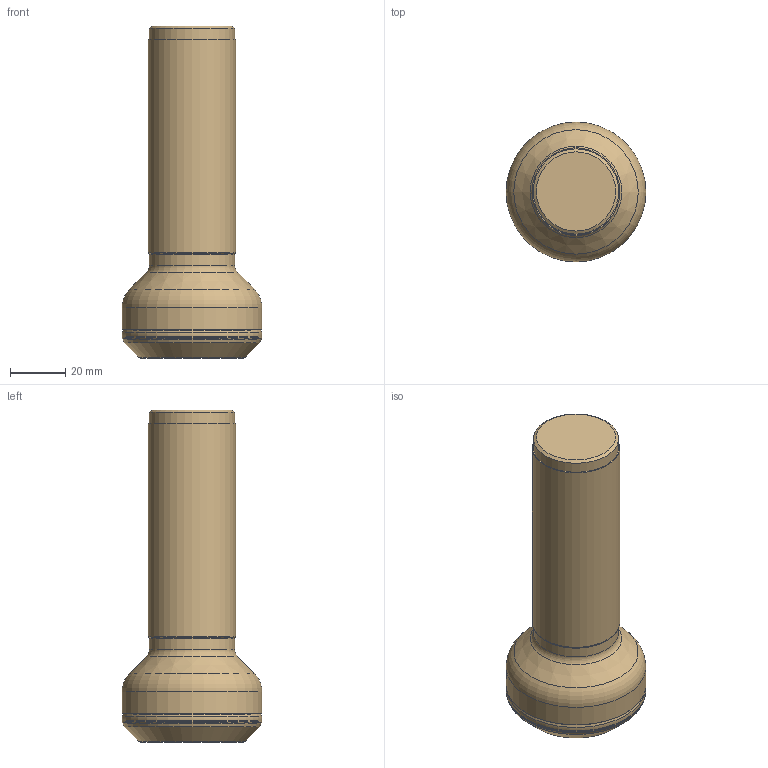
import cadquery as cq
import math

total_height = 120.65
parting_height = 10.45

head_radius = 25.4
head_fillet_start = 18.3
head_fillet_radius = 9.525
neck_radius = 15.5
neck_fillet_radius = 3.8
grip_radius = 15.875
grip_bottom = 38.25
grip_blend_height = 0.65
grip_top = 115.9
end_chamfer_width = 1.1
end_chamfer_height = 0.75

rim_radius = 25.415
rim_chamfer_width = 0.3
rim_chamfer_height = 0.85
rim_crown_drop = 0.05
rim_crown_top = 9.3
rim_crown_bottom = 7.7
rim_lip_height = 0.35
step_top_radius = 25.0
step_top = 6.6
step_bottom_radius = 24.6
step_bottom = 5.6
base_edge_height = 0.35
base_face_radius = 18.8

diagonal = math.sqrt(0.5)
arc_half_angle = math.pi / 8


def add_rounded_step(profile, low_point, high_point):
    """Extend the profile by two equal arcs that start and end upright, curving out to a larger radius."""
    half_width = (high_point[0] - low_point[0]) / 2
    half_height = (high_point[1] - low_point[1]) / 2
    arc_radius = (half_width**2 + half_height**2) / (2 * half_width)
    middle = (low_point[0] + half_width, low_point[1] + half_height)
    return profile.radiusArc(middle, arc_radius).radiusArc(high_point, -arc_radius)


def make_handle():
    """Solid head, neck, grip and stepped end."""
    head_centre_radius = head_radius - head_fillet_radius
    shoulder_low_radius = head_centre_radius + head_fillet_radius * diagonal
    shoulder_low_height = head_fillet_start + head_fillet_radius * diagonal

    neck_centre_radius = neck_radius + neck_fillet_radius
    shoulder_top_radius = neck_centre_radius - neck_fillet_radius * diagonal
    shoulder_top_height = shoulder_low_height + shoulder_low_radius - shoulder_top_radius
    neck_fillet_end = shoulder_top_height + neck_fillet_radius * diagonal

    head_arc_middle = (
        head_centre_radius + head_fillet_radius * math.cos(arc_half_angle),
        head_fillet_start + head_fillet_radius * math.sin(arc_half_angle),
    )
    neck_arc_middle = (
        neck_centre_radius - neck_fillet_radius * math.cos(arc_half_angle),
        neck_fillet_end - neck_fillet_radius * math.sin(arc_half_angle),
    )

    profile = (
        cq.Workplane("XZ")
        .moveTo(0, parting_height)
        .lineTo(head_radius, parting_height)
        .lineTo(head_radius, head_fillet_start)
        .threePointArc(head_arc_middle, (shoulder_low_radius, shoulder_low_height))
        .lineTo(shoulder_top_radius, shoulder_top_height)
        .threePointArc(neck_arc_middle, (neck_radius, neck_fillet_end))
        .lineTo(neck_radius, grip_bottom - grip_blend_height)
    )
    profile = add_rounded_step(
        profile,
        (neck_radius, grip_bottom - grip_blend_height),
        (grip_radius, grip_bottom),
    )
    profile = (
        profile.lineTo(grip_radius, grip_top)
        .lineTo(neck_radius, grip_top)
        .lineTo(neck_radius, total_height - end_chamfer_height)
        .lineTo(neck_radius - end_chamfer_width, total_height)
        .lineTo(0, total_height)
        .close()
    )
    return profile.revolve(360, (0, 0), (0, 1))


def make_base_cap():
    """Solid cap that closes the wide end of the handle."""
    crown_end_radius = rim_radius - rim_crown_drop
    crown_middle = (rim_radius, (rim_crown_top + rim_crown_bottom) / 2)
    base_cone_radius = step_bottom_radius - (step_bottom - base_edge_height)

    profile = (
        cq.Workplane("XZ")
        .lineTo(base_face_radius, 0)
        .lineTo(base_cone_radius, base_edge_height)
        .lineTo(step_bottom_radius, step_bottom)
        .lineTo(step_top_radius, step_top)
    )
    profile = add_rounded_step(
        profile,
        (step_top_radius, step_top),
        (crown_end_radius, rim_crown_bottom - rim_lip_height),
    )
    profile = (
        profile.lineTo(crown_end_radius, rim_crown_bottom)
        .threePointArc(crown_middle, (crown_end_radius, rim_crown_top))
        .lineTo(crown_end_radius - rim_chamfer_width, rim_crown_top + rim_chamfer_height)
        .lineTo(crown_end_radius - rim_chamfer_width, parting_height)
        .lineTo(0, parting_height)
        .close()
    )
    return profile.revolve(360, (0, 0), (0, 1))


handle = make_handle()
base_cap = make_base_cap()

result = cq.Compound.makeCompound([handle.val(), base_cap.val()])